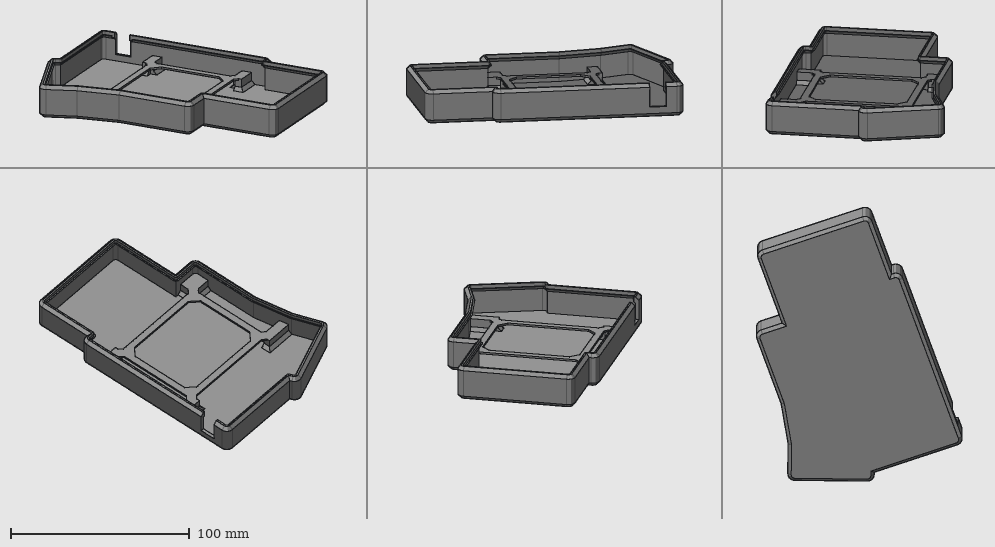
import cadquery as cq
import math

HEIGHT = 19.0
FLOOR = 2.0
WALL = 2.0
RIM_EDGE = 2.0
CORNER_RADIUS = 4.0

LIP_INSET = 1.0
LEDGE_INSET = 2.0
LIP_DEPTH = 2.1

RIGHT_X = 149.4
BACK_Y = 99.4
LEFT_X = 3.9
BACK_STEP_X = 111.9
BACK_STEP_Y = 94.3
FRONT_STEP_X = 104.7
FRONT_STEP_Y = 26.9
FRONT_Y = 10.5
BEND_X = 59.8
BEND_ANGLE = 10.0
FIRST_BEND_LENGTH = 24.4
SECOND_BEND_LENGTH = 21.7
SLANT_LENGTH = 48.4

FRAME_CENTER = (68.1, 54.8)
WINDOW_X = 45.9
WINDOW_Y = 55.9
WINDOW_CORNER = 4.8
FRAME_WIDTH = 4.0
FRAME_THICKNESS = 1.0
FRAME_TOP = 6.9
POST_WIDTH = 6.0
POST_FLARE = 2.1
GUSSET = 2.1
FRAME_X = WINDOW_X + 2 * FRAME_WIDTH
FRAME_Y = WINDOW_Y + 2 * FRAME_WIDTH
FRAME_BOTTOM = FLOOR + FRAME_TOP - FRAME_THICKNESS

SLOT_CENTER_X = 18.7
SLOT_WIDTH = 9.4
SLOT_SILL = 3.7
LEDGE_GAP_WIDTH = 13.0


def polar_step(point, length, angle):
    """Point reached from the given one by a length along an angle in degrees."""
    turn = math.radians(angle)
    return (point[0] + length * math.cos(turn), point[1] + length * math.sin(turn))


def outline_points():
    """Outer outline with all corners sharp, counterclockwise."""
    slope = 2 * BEND_ANGLE
    first_bend = (BEND_X, FRONT_Y)
    second_bend = polar_step(first_bend, FIRST_BEND_LENGTH, 180 + BEND_ANGLE)
    low_corner = polar_step(second_bend, SECOND_BEND_LENGTH, 180 + slope)
    slant_top = polar_step(low_corner, SLANT_LENGTH, 90 + slope)
    shoulder_y = slant_top[1] + (LEFT_X - slant_top[0]) * math.tan(math.radians(slope))
    return [
        first_bend, (FRONT_STEP_X, FRONT_Y), (FRONT_STEP_X, FRONT_STEP_Y),
        (RIGHT_X, FRONT_STEP_Y), (RIGHT_X, BACK_STEP_Y), (BACK_STEP_X, BACK_STEP_Y),
        (BACK_STEP_X, BACK_Y), (LEFT_X, BACK_Y), (LEFT_X, shoulder_y),
        slant_top, low_corner, second_bend,
    ]


def rounded_outline(inset, base_z):
    """Outline moved inward, convex corners rounded and concave corners sharp."""
    core = cq.Workplane("XY").workplane(offset=base_z).polyline(outline_points()).close()
    core = core.offset2D(-CORNER_RADIUS, "intersection")
    return core.offset2D(CORNER_RADIUS - inset, "arc")


def box(center, size, bottom, height):
    """Upright box centered in X and Y, standing on the given level."""
    plane = cq.Workplane("XY").workplane(offset=bottom)
    return plane.center(*center).rect(*size).extrude(height)


def make_cavity():
    """Room with a 45 degree slope under the ledge, and the lid recess above it."""
    ledge_z = HEIGHT - LIP_DEPTH
    slope_z = ledge_z - LEDGE_INSET
    room = rounded_outline(WALL, FLOOR).extrude(slope_z - FLOOR)
    slope = rounded_outline(WALL, slope_z).extrude(LEDGE_INSET, taper=45)
    recess = rounded_outline(WALL, ledge_z).offset2D(-LIP_INSET, "arc").extrude(LIP_DEPTH)
    return room.union(slope).union(recess)


def make_post(side_x, side_y, width):
    """Post with a flared foot, overlong in Y so that it runs into the side wall."""
    length = BACK_Y / 2
    x = FRAME_CENTER[0] + side_x * (WINDOW_X / 2 + POST_FLARE + width / 2)
    y = FRAME_CENTER[1] + side_y * (WINDOW_Y / 2 + POST_FLARE + length / 2)
    post = box((x, y), (width, length), FLOOR, FRAME_TOP)
    foot_plane = cq.Workplane("XY").workplane(offset=FLOOR).center(x, y)
    foot = foot_plane.rect(width + 2 * POST_FLARE, length + 2 * POST_FLARE)
    return post.union(foot.extrude(POST_FLARE, taper=45))


def make_gusset(side_x, side_y):
    """Plate that joins a frame corner to its post along sloping edges."""
    inner_x = FRAME_CENTER[0] + side_x * WINDOW_X / 2
    inner_y = FRAME_CENTER[1] + side_y * WINDOW_Y / 2
    outer_x = inner_x + side_x * FRAME_WIDTH
    outer_y = inner_y + side_y * FRAME_WIDTH
    points = [
        (outer_x, inner_y),
        (outer_x + side_x * GUSSET, inner_y + side_y * GUSSET),
        (inner_x + side_x * GUSSET, outer_y + side_y * GUSSET),
        (inner_x, outer_y),
    ]
    plane = cq.Workplane("XY").workplane(offset=FRAME_BOTTOM)
    return plane.polyline(points).close().extrude(FRAME_THICKNESS)


def make_frame():
    """Flat rectangular frame around a window with cut corners."""
    window = box(FRAME_CENTER, (WINDOW_X, WINDOW_Y), FRAME_BOTTOM, FRAME_THICKNESS)
    window = window.edges("|Z").chamfer(WINDOW_CORNER)
    return box(FRAME_CENTER, (FRAME_X, FRAME_Y), FRAME_BOTTOM, FRAME_THICKNESS).cut(window)


def make_bridge():
    """Frame and posts, with the space under the frame left clear."""
    corners = [(side_x, side_y) for side_x in (-1, 1) for side_y in (-1, 1)]
    under_frame = box(FRAME_CENTER, (FRAME_X, FRAME_Y), FLOOR, FRAME_BOTTOM - FLOOR)
    bridge = make_frame()
    for side_x, side_y in corners:
        beside_step = side_x > 0 and side_y < 0
        width = 2 * POST_WIDTH if beside_step else POST_WIDTH
        post = make_post(side_x, side_y, width).cut(under_frame)
        bridge = bridge.union(post).union(make_gusset(side_x, side_y))
    trim = rounded_outline(WALL / 2, FLOOR).extrude(FRAME_TOP)
    return bridge.intersect(trim)


def make_slot():
    """Opening through the back wall and the wider gap in the ledge."""
    wall_depth = 2 * (WALL + LEDGE_INSET)
    sill_z = FLOOR + SLOT_SILL
    opening = box((SLOT_CENTER_X, BACK_Y), (SLOT_WIDTH, wall_depth), sill_z, HEIGHT)
    gap_y = BACK_Y - WALL - LIP_INSET - LEDGE_INSET / 2
    gap = box((SLOT_CENTER_X, gap_y), (LEDGE_GAP_WIDTH, LEDGE_INSET), sill_z, HEIGHT)
    return opening.union(gap)


shell = rounded_outline(0, 0).extrude(HEIGHT)
shell = shell.faces("<Z or >Z").chamfer(RIM_EDGE)
shell = shell.cut(make_cavity())
result = shell.union(make_bridge()).cut(make_slot())